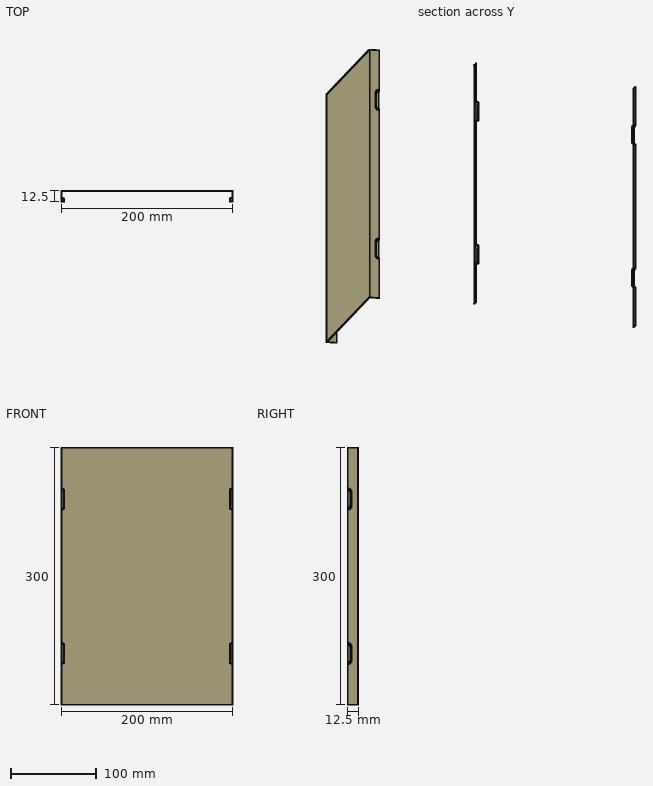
import cadquery as cq

WIDTH = 200.0
DEPTH = 12.5
HEIGHT = 300.0

SHEET = 0.7
BEND_RADIUS = 0.3

DIMPLE_SPACING = 180.0
DIMPLE_STRAIGHT = 15.0
DIMPLE_DEPTH = 3.0
DIMPLE_RIM_RADIUS = 5.0
DIMPLE_FLOOR_RADIUS = 3.0
DIMPLE_BACK_RADIUS = 3.5

FREE_EDGE_Y = -DEPTH / 2
FLANGE_OUTER_X = WIDTH / 2


def folded_panel():
    """Flat panel with a flange folded forward along each vertical side."""
    outer = cq.Workplane("XY").box(WIDTH, DEPTH, HEIGHT)
    outer = outer.edges("|Z and >Y").fillet(BEND_RADIUS)
    inner = cq.Workplane("XY").box(WIDTH - 2 * SHEET, DEPTH, HEIGHT)
    return outer.cut(inner.translate((0, -SHEET, 0)))


def dimple_form(start_x, start_radius, end_x, end_radius, center_z):
    """Tapered slot shape running along X, its long axis on the free edge."""
    def slot(x, radius):
        length = DIMPLE_STRAIGHT + 2 * radius
        plane = cq.Workplane("YZ", origin=(x, FREE_EDGE_Y, center_z))
        upright = 90
        return plane.slot2D(length, 2 * radius, upright).val()

    solid = cq.Solid.makeLoft([slot(start_x, start_radius), slot(end_x, end_radius)], True)
    return cq.Workplane(solid)


def add_dimple(panel, side, center_z):
    """Press one dimple into the flange on the given side (-1 or +1)."""
    rim_x = side * FLANGE_OUTER_X
    floor_x = side * (FLANGE_OUTER_X - DIMPLE_DEPTH)
    back_rim_x = side * (FLANGE_OUTER_X - SHEET)
    back_floor_x = floor_x - side * SHEET

    back = dimple_form(back_rim_x, DIMPLE_RIM_RADIUS, back_floor_x, DIMPLE_BACK_RADIUS, center_z)
    hollow = dimple_form(rim_x, DIMPLE_RIM_RADIUS, floor_x, DIMPLE_FLOOR_RADIUS, center_z)
    return panel.union(back).cut(hollow)


def trim_to_free_edge(panel):
    """Remove everything in front of the flanges' free edges."""
    behind_edge = cq.Workplane("XY").box(WIDTH, DEPTH, HEIGHT)
    return panel.intersect(behind_edge)


panel = folded_panel()
for side in (-1, 1):
    for center_z in (-DIMPLE_SPACING / 2, DIMPLE_SPACING / 2):
        panel = add_dimple(panel, side, center_z)
result = trim_to_free_edge(panel)